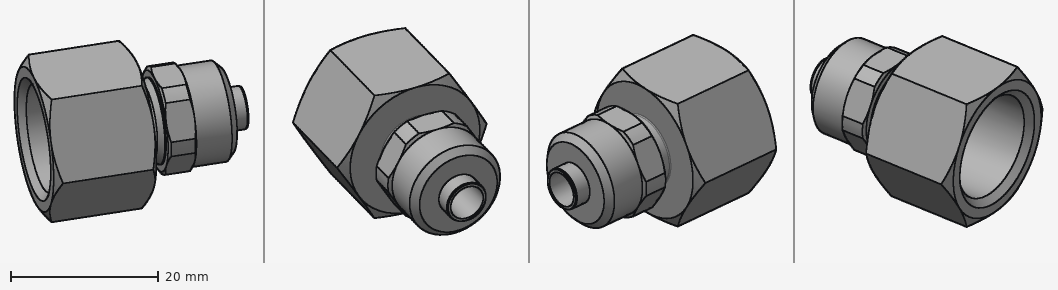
import cadquery as cq
import math

nut_length = 14.5
neck_end = 16.0
flare_end = 16.82
cap_start = 17.0
cap_hex_end = 21.0
cap_end = 27.02
total_length = 29.5

nut_apothem = 10.0
neck_radius = 5.2
flare_radius = 6.02
cap_radius = 7.0
cap_hex_corner_radius = 7.5
tube_radius = 3.0
passage_radius = 2.5
socket_radius = 7.5
mouth_radius = 8.5

bevel_angle = 30
cap_chamfer = 1.0
tube_chamfer_length = 0.2
tube_chamfer_depth = 0.1
neck_fillet = 0.15
mouth_chamfer_length = 1.0
socket_depth = 11.5
cone_half_angle = 60

bevel_slope = math.tan(math.radians(bevel_angle))


def revolve_profile(points):
    """Revolve (radius, y) points about the Y axis."""
    return cq.Workplane("XY").polyline(points).close().revolve(360, (0, 0, 0), (0, 1, 0))


def beveled_hex(apothem, corner_radius, start, end):
    """Hex prism along Y, flats facing +-Z, with conical bevels on both ends."""
    bevel_length = (corner_radius - apothem) * bevel_slope
    corner_diameter = 2 * apothem / math.cos(math.pi / 6)
    prism = (
        cq.Workplane("XZ", origin=(0, start, 0))
        .polygon(6, corner_diameter)
        .extrude(start - end)
    )
    envelope = revolve_profile([
        (0, start),
        (apothem, start),
        (corner_radius, start + bevel_length),
        (corner_radius, end - bevel_length),
        (apothem, end),
        (0, end),
    ])
    return prism.intersect(envelope)


nut_corner_radius = nut_apothem / math.cos(math.pi / 6)
nut = beveled_hex(nut_apothem, nut_corner_radius, 0, nut_length)

cap_hex = beveled_hex(cap_radius, cap_hex_corner_radius, cap_start, cap_hex_end)

turned_body = (
    cq.Workplane("XY")
    .moveTo(0, 0)
    .lineTo(neck_radius + neck_fillet, 0)
    .lineTo(neck_radius + neck_fillet, nut_length)
    .radiusArc((neck_radius, nut_length + neck_fillet), neck_fillet)
    .lineTo(neck_radius, neck_end)
    .lineTo(flare_radius, flare_end)
    .lineTo(flare_radius, cap_start)
    .lineTo(cap_radius, cap_start)
    .lineTo(cap_radius, cap_end - cap_chamfer)
    .lineTo(cap_radius - cap_chamfer, cap_end)
    .lineTo(tube_radius, cap_end)
    .lineTo(tube_radius, total_length - tube_chamfer_length)
    .lineTo(tube_radius - tube_chamfer_depth, total_length)
    .lineTo(0, total_length)
    .close()
    .revolve(360, (0, 0, 0), (0, 1, 0))
)

cone_length = (socket_radius - passage_radius) / math.tan(math.radians(cone_half_angle))
cavity = revolve_profile([
    (0, 0),
    (mouth_radius, 0),
    (socket_radius, mouth_chamfer_length),
    (socket_radius, socket_depth),
    (passage_radius, socket_depth + cone_length),
    (passage_radius, total_length),
    (0, total_length),
])

result = nut.union(turned_body).union(cap_hex).cut(cavity)